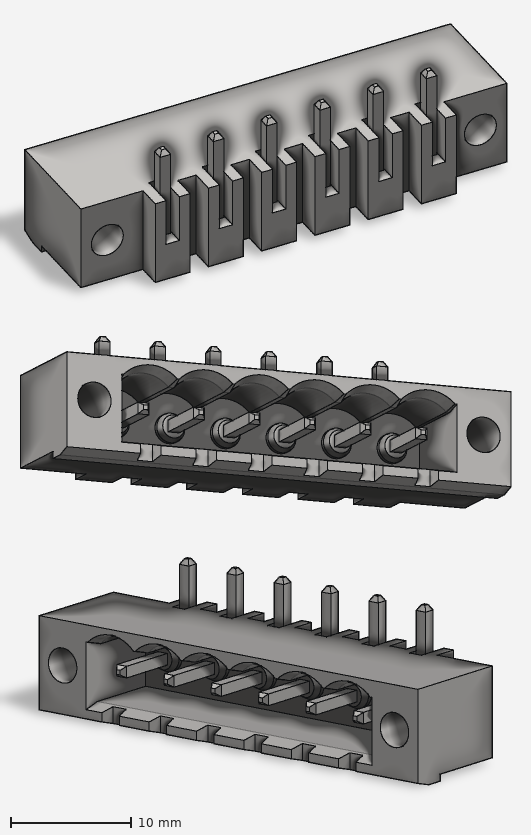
import cadquery as cq

length = 40.0
body_depth = 10.0
body_top = 8.5
lip_height = 0.6
lip_depth = 3.0
lip_chamfer_depth = 1.45
lip_chamfer_height = 0.4

pin_count = 6
pitch = 5.0
pin_axis_z = 4.6
row_middle_y = 19.95
pin_y = [row_middle_y + (i - (pin_count - 1) / 2) * pitch for i in range(pin_count)]

mount_hole_y = 2.5
mount_hole_diameter = 3.0

cavity_depth = 8.0
cavity_width = 30.15
cavity_floor_z = 1.6
cavity_ceiling_z = pin_axis_z + 2.0
arch_radius = 3.0
arch_mouth_radius = 3.4
lead_in_depth = 1.5
lead_in_height = 0.4

notch_depth = 1.2
notch_front_width = 1.85
notch_back_width = 1.35

total_depth = 12.2
rib_width = 3.3
slot_front_x = 9.15
slot_width = 1.25

pin_size = 1.0
pin_tip_x = 1.05
pin_tip_z = 12.5
tip_length = 0.5
tip_size = 0.4
tail_x = 10.4

boss_diameter = 2.5
boss_height = 1.0
boss_end_diameter = 1.95
boss_taper_length = 0.6


def block(x_range, y_range, z_range):
    """Box given by its limits along each axis."""
    (x0, x1), (y0, y1), (z0, z1) = x_range, y_range, z_range
    return cq.Workplane("XY").box(x1 - x0, y1 - y0, z1 - z0, centered=False).translate((x0, y0, z0))


def centered_range(middle, width):
    return (middle - width / 2, middle + width / 2)


def x_cylinder(diameter, x_range, y):
    """Cylinder along X at the height of the pin row."""
    x0, x1 = x_range
    return cq.Workplane("YZ", origin=(x0, y, pin_axis_z)).circle(diameter / 2).extrude(x1 - x0)


def make_housing():
    """Housing with a chamfered lip below its front, and a rear rib behind each pin."""
    housing = (
        cq.Workplane("XZ")
        .moveTo(0, body_top)
        .lineTo(0, lip_chamfer_height)
        .lineTo(lip_chamfer_depth, 0)
        .lineTo(lip_depth, 0)
        .lineTo(lip_depth, lip_height)
        .lineTo(body_depth, lip_height)
        .lineTo(body_depth, body_top)
        .close()
        .extrude(-length)
    )
    for y in pin_y:
        housing = housing.union(
            block((body_depth, total_depth), centered_range(y, rib_width), (lip_height, body_top))
        )
    return housing


def make_cavity():
    """Cavity volume: a trough under a row of arches, all widening towards the mouth."""
    cavity_y = centered_range(row_middle_y, cavity_width)
    cavity = (
        cq.Workplane("XZ", origin=(0, cavity_y[0], 0))
        .moveTo(0, cavity_floor_z - lead_in_height)
        .lineTo(lead_in_depth, cavity_floor_z)
        .lineTo(cavity_depth, cavity_floor_z)
        .lineTo(cavity_depth, cavity_ceiling_z)
        .lineTo(lead_in_depth, cavity_ceiling_z)
        .lineTo(0, cavity_ceiling_z + lead_in_height)
        .close()
        .extrude(-cavity_width)
    )
    arch_space = block((0, cavity_depth), cavity_y, (pin_axis_z, body_top))
    for y in pin_y:
        arch = (
            cq.Workplane("XY", origin=(0, y, pin_axis_z))
            .lineTo(0, arch_mouth_radius)
            .lineTo(lead_in_depth, arch_radius)
            .lineTo(cavity_depth, arch_radius)
            .lineTo(cavity_depth, 0)
            .close()
            .revolve(360, (0, 0, 0), (1, 0, 0))
        )
        cavity = cavity.union(arch.intersect(arch_space))
    return cavity


def make_notch(y):
    """Notch through the front sill, narrowing towards its back."""
    return (
        cq.Workplane("XY")
        .moveTo(0, y - notch_front_width / 2)
        .lineTo(notch_depth, y - notch_back_width / 2)
        .lineTo(notch_depth, y + notch_back_width / 2)
        .lineTo(0, y + notch_front_width / 2)
        .close()
        .extrude(cavity_floor_z)
    )


def make_tip(plane):
    """Tapered pin end, growing along the plane's normal."""
    return (
        cq.Workplane(plane)
        .rect(pin_size, pin_size)
        .workplane(offset=tip_length)
        .rect(tip_size, tip_size)
        .loft(combine=True)
    )


def make_pin(y):
    """Right-angled square pin with a contact end along -X and a tail along +Z."""
    contact_start = pin_tip_x + tip_length
    tail_end = pin_tip_z - tip_length
    tail_back = tail_x + pin_size / 2
    across = centered_range(y, pin_size)
    contact_heights = centered_range(pin_axis_z, pin_size)
    contact = block((contact_start, tail_back), across, contact_heights)
    tail = block(centered_range(tail_x, pin_size), across, (contact_heights[0], tail_end))
    contact_tip = make_tip(cq.Plane((contact_start, y, pin_axis_z), (0, 1, 0), (-1, 0, 0)))
    tail_tip = make_tip(cq.Plane((tail_x, y, tail_end), (1, 0, 0), (0, 0, 1)))
    return contact.union(tail).union(contact_tip).union(tail_tip)


def make_boss(y):
    """Round boss standing on the cavity's back wall, tapered towards the mouth."""
    boss_front_x = cavity_depth - boss_height
    return (
        cq.Workplane("XY", origin=(0, y, pin_axis_z))
        .moveTo(boss_front_x, 0)
        .lineTo(boss_front_x, boss_end_diameter / 2)
        .lineTo(boss_front_x + boss_taper_length, boss_diameter / 2)
        .lineTo(cavity_depth, boss_diameter / 2)
        .lineTo(cavity_depth, 0)
        .close()
        .revolve(360, (0, 0, 0), (1, 0, 0))
    )


result = make_housing().cut(make_cavity())

for hole_y in (mount_hole_y, length - mount_hole_y):
    result = result.cut(x_cylinder(mount_hole_diameter, (0, body_depth), hole_y))

slot_floor_z = pin_axis_z - pin_size / 2
for y in pin_y:
    slot = block((slot_front_x, total_depth), centered_range(y, slot_width), (slot_floor_z, body_top))
    result = result.cut(make_notch(y)).cut(slot)
    result = result.union(make_boss(y)).union(make_pin(y))